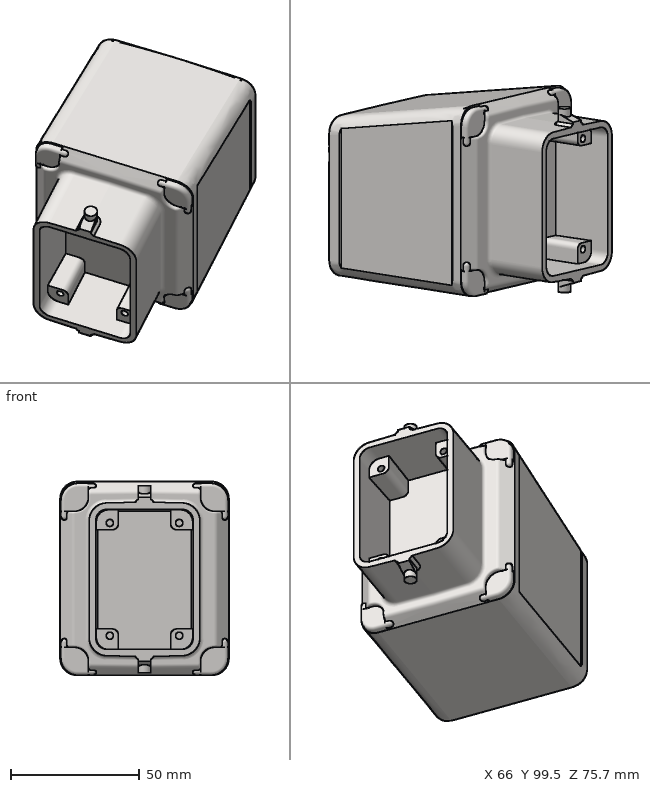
import cadquery as cq
import math

LENGTH = 99.5
WIDTH = 66.0
BODY_TOP = 38.2
BODY_BOTTOM = -37.5
BODY_FRONT = 31.6
ROOF_SLOPE = 10.2
CROWN = 0.5
CORNER_RADIUS = 7.0
BACK_RADIUS = 2.8

BEVEL_FRONT = 27.0
BEVEL_SIDE_INSET = 5.1
BEVEL_HALF_HEIGHT = 33.8
BEVEL_EDGE_RADIUS = 2.2

PANEL_DEPTH = 0.4
PANEL_FRONT = 36.6
PANEL_BACK = 92.0
PANEL_WALL_RUN = 0.8

PAD_SIDE_INSET = 0.4
PAD_HALF_HEIGHT = 37.4
PAD_FACE = 28.8
NOTCH_X = 21.9
NOTCH_Z = 26.6
NOTCH_RADIUS = 5.4
NOTCH_RIM_RADIUS = 0.9
ARM_RADIUS = 1.4
ARM_TIP_X = 18.7
ARM_TIP_Z = 23.1

SOCKET_WIDTH = 43.2
SOCKET_HEIGHT = 59.3
SOCKET_BASE_RADIUS = 1.5
CAVITY_WIDTH = 38.0
CAVITY_HEIGHT = 54.6
CAVITY_RADIUS = 4.5
CAVITY_DEPTH = 25.7
CAVITY_DRAFT = 0.8

POST_WIDTH = 8.9
POST_HEIGHT = 8.0
POST_RADIUS = 2.5
POST_FRONT = 8.1
SCREW_HOLE = 2.8
SCREW_X = 13.5
SCREW_Z = 22.0
SCREW_DEPTH = 9.9

PIN_DIAMETER = 5.0
PIN_Y = 6.4
PIN_TIP = 36.5
RIB_TOP_AT_PIN = 34.2
RIB_TOP_AT_FRONT = 31.9
FOOT_TOP = 31.2
FOOT_FLARE = 1.3

OVERLAP = 1.0
PICK_MARGIN = 0.5

roof_fall = math.tan(math.radians(ROOF_SLOPE))


def ridged_ring(y, half_width, top, bottom, top_crown, bottom_crown):
    """Six-sided XZ outline at a given Y, with a ridge at X = 0 on top and bottom."""
    points = [
        (-half_width, bottom),
        (0, bottom - bottom_crown),
        (half_width, bottom),
        (half_width, top),
        (0, top + top_crown),
        (-half_width, top),
    ]
    return cq.Wire.makePolygon([cq.Vector(x, y, z) for x, z in points], close=True)


def ruled(*rings):
    return cq.Workplane(cq.Solid.makeLoft(list(rings), True))


def round_long_corners(solid, radius):
    """Round the four outer edges that run from front to back."""
    return solid.faces("<X or >X").edges("not(|Z)").fillet(radius)


def make_body():
    back_top = BODY_TOP - (LENGTH - BODY_FRONT) * roof_fall
    half = WIDTH / 2
    eaves_drop = CROWN * CORNER_RADIUS / half
    body = ruled(
        ridged_ring(BODY_FRONT, half, BODY_TOP - eaves_drop, BODY_BOTTOM, CROWN, 0),
        ridged_ring(LENGTH, half, back_top - eaves_drop, BODY_BOTTOM, CROWN, 0),
    )
    body = round_long_corners(body, CORNER_RADIUS)
    body = body.faces(">Y").edges().fillet(BACK_RADIUS)
    roof_trim = (
        cq.Workplane("YZ")
        .polyline([(BODY_FRONT, BODY_TOP), (LENGTH, back_top),
                   (LENGTH, BODY_TOP + CROWN), (BODY_FRONT, BODY_TOP + CROWN)])
        .close()
        .extrude(half, both=True)
    )
    return body.cut(roof_trim)


def make_bevel():
    half = WIDTH / 2
    bevel = ruled(
        ridged_ring(BODY_FRONT, half, BODY_TOP, BODY_BOTTOM, 0, 0),
        ridged_ring(BEVEL_FRONT, half - BEVEL_SIDE_INSET, BEVEL_HALF_HEIGHT,
                    -BEVEL_HALF_HEIGHT, CROWN, CROWN),
    )
    return bevel.faces("<Y").edges().fillet(BEVEL_EDGE_RADIUS)


def make_side_recess():
    """Recess of the right-hand side wall; the cutter also skims the rounded corners."""
    floor = WIDTH / 2 - PANEL_DEPTH
    outer = WIDTH / 2 + PANEL_DEPTH
    run = 2 * PANEL_WALL_RUN
    return (
        cq.Workplane("XY")
        .polyline([(floor, PANEL_FRONT), (floor, PANEL_BACK),
                   (outer, PANEL_BACK + run), (outer, PANEL_FRONT - run)])
        .close()
        .extrude(BODY_TOP, both=True)
    )


def make_notches():
    """Four corner blocks that clear the bevel in front of the pads."""
    width = 2 * (WIDTH / 2 - NOTCH_X)
    height = 2 * (BODY_TOP - NOTCH_Z)
    return (
        cq.Workplane("XZ", origin=(0, BODY_FRONT, 0))
        .rect(WIDTH, 2 * BODY_TOP, forConstruction=True).vertices()
        .rect(width, height).extrude(BODY_FRONT - BEVEL_FRONT + OVERLAP)
        .edges("|Y").fillet(NOTCH_RADIUS)
    )


def is_notch_corner(face):
    """True for the cylindrical notch walls; the socket fillets lie nearer the middle."""
    centre = face.Center()
    beyond_socket = abs(centre.x) > SOCKET_WIDTH / 2 and abs(centre.z) > NOTCH_Z
    return beyond_socket and face.geomType() == "CYLINDER"


def round_notch_rims(front):
    """Round the rims where the notch walls meet the flat front of the bevel."""
    rim_zone = cq.selectors.BoxSelector(
        (-WIDTH, BEVEL_FRONT - PICK_MARGIN, -WIDTH),
        (WIDTH, BEVEL_FRONT + PICK_MARGIN, WIDTH),
    )
    corners = front.faces().filter(is_notch_corner)
    return corners.edges(rim_zone).fillet(NOTCH_RIM_RADIUS)


def make_pads(notches):
    """Rounded corner pads in front of the housing walls."""
    depth = BODY_FRONT - PAD_FACE
    plate = (
        cq.Workplane().box(WIDTH - 2 * PAD_SIDE_INSET, depth, 2 * PAD_HALF_HEIGHT)
        .edges("|Y").fillet(CORNER_RADIUS - PAD_SIDE_INSET)
        .faces("<Y").edges().fillet(ARM_RADIUS)
        .translate((0, PAD_FACE + depth / 2, 0))
    )
    return plate.intersect(notches)


def round_bar(start, end, radius):
    """Bar with hemispherical ends; start and end are the centres of the hemispheres."""
    axis = cq.Vector(*end) - cq.Vector(*start)
    bar = cq.Workplane(cq.Solid.makeCylinder(radius, axis.Length, cq.Vector(*start), axis))
    for centre in (start, end):
        bar = bar.union(cq.Workplane().sphere(radius).translate(centre))
    return bar


def make_arms():
    """Two round arms per corner, running along the housing edges from each pad."""
    arms = cq.Workplane()
    y = PAD_FACE + ARM_RADIUS
    arm_x = WIDTH / 2 - PAD_SIDE_INSET - ARM_RADIUS
    arm_z = PAD_HALF_HEIGHT - ARM_RADIUS
    root_x = WIDTH / 2 - CORNER_RADIUS
    root_z = PAD_HALF_HEIGHT - CORNER_RADIUS
    tip_x = ARM_TIP_X + ARM_RADIUS
    tip_z = ARM_TIP_Z + ARM_RADIUS
    for side in (-1, 1):
        for end in (-1, 1):
            across = round_bar((side * root_x, y, end * arm_z), (side * tip_x, y, end * arm_z), ARM_RADIUS)
            upright = round_bar((side * arm_x, y, end * root_z), (side * arm_x, y, end * tip_z), ARM_RADIUS)
            arms = arms.add(across).add(upright)
    return arms.combine()


def make_socket():
    half = SOCKET_WIDTH / 2
    end = SOCKET_HEIGHT / 2
    rings = [ridged_ring(y, half, end, -end, CROWN, CROWN) for y in (0, BEVEL_FRONT + OVERLAP)]
    return round_long_corners(ruled(*rings), CORNER_RADIUS)


def make_cavity():
    half = CAVITY_WIDTH / 2
    end = CAVITY_HEIGHT / 2
    cavity = ruled(
        ridged_ring(0, half, end, -end, 0, 0),
        ridged_ring(CAVITY_DEPTH, half - CAVITY_DRAFT, end - CAVITY_DRAFT, -end, 0, 0),
    )
    cavity = round_long_corners(cavity, CAVITY_RADIUS)
    posts = (
        cq.Workplane("XZ", origin=(0, POST_FRONT, 0))
        .rect(CAVITY_WIDTH, CAVITY_HEIGHT, forConstruction=True).vertices()
        .rect(2 * POST_WIDTH, 2 * POST_HEIGHT).extrude(POST_FRONT - CAVITY_DEPTH)
        .edges("|Y").fillet(POST_RADIUS)
    )
    return cavity.cut(posts)


def make_screw_holes():
    return (
        cq.Workplane("XZ", origin=(0, POST_FRONT, 0))
        .rect(2 * SCREW_X, 2 * SCREW_Z, forConstruction=True).vertices()
        .circle(SCREW_HOLE / 2).extrude(-SCREW_DEPTH)
    )


def make_locking_pin():
    """Upper pin with its flared foot and the sloping rib in front of it."""
    radius = PIN_DIAMETER / 2
    foot_radius = radius + FOOT_FLARE
    seat = SOCKET_HEIGHT / 2 + CROWN * (1 - 2 * foot_radius / SOCKET_WIDTH)
    pin = cq.Workplane(origin=(0, PIN_Y, seat)).circle(radius).extrude(PIN_TIP - seat)
    rib = (
        cq.Workplane("YZ")
        .polyline([(0, seat), (0, RIB_TOP_AT_FRONT), (PIN_Y, RIB_TOP_AT_PIN), (PIN_Y, seat)])
        .close()
        .extrude(radius, both=True)
    )
    round_foot = (
        cq.Workplane(cq.Solid.makeCone(foot_radius, radius, FOOT_TOP - seat))
        .translate((0, PIN_Y, seat))
    )
    straight_foot = (
        cq.Workplane("XZ")
        .polyline([(-foot_radius, seat), (foot_radius, seat), (radius, FOOT_TOP), (-radius, FOOT_TOP)])
        .close()
        .extrude(-PIN_Y)
    )
    return pin.union(rib).union(round_foot).union(straight_foot)


notches = make_notches()
front = make_bevel().union(make_socket())
base_x = SOCKET_WIDTH / 2 + PICK_MARGIN
base_z = SOCKET_HEIGHT / 2 + CROWN + PICK_MARGIN
base_zone = cq.selectors.BoxSelector(
    (-base_x, BEVEL_FRONT - PICK_MARGIN, -base_z),
    (base_x, BEVEL_FRONT + PICK_MARGIN, base_z),
)
front = front.edges(base_zone).fillet(SOCKET_BASE_RADIUS).cut(notches)
front = round_notch_rims(front)

recess = make_side_recess()
housing = make_body().cut(recess).cut(recess.mirror("YZ")).union(front)
housing = housing.union(make_pads(notches)).union(make_arms())

pin = make_locking_pin()
housing = housing.union(pin).union(pin.mirror("XY"))
result = housing.cut(make_cavity()).cut(make_screw_holes()).clean()